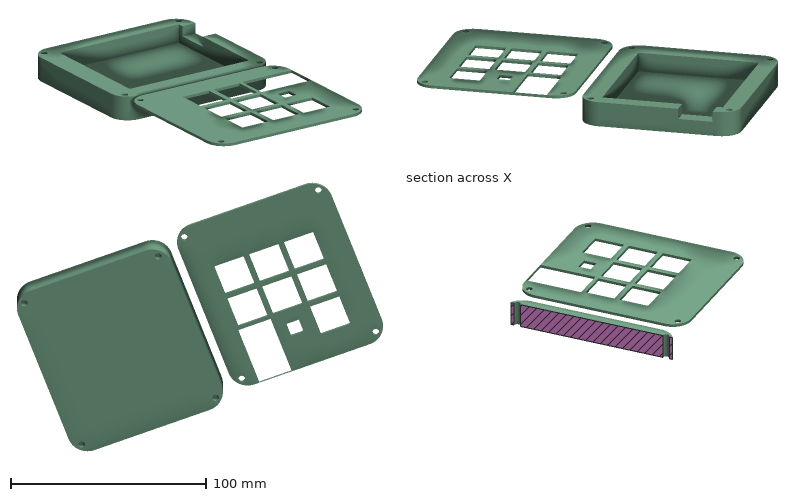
import cadquery as cq

WIDTH = 83.81
LENGTH = 94.0
CORNER_RADIUS = 10.35
SCREW_DIAMETER = 3.4
SCREW_INSET = 5.2

CASE_HEIGHT = 13.0
FLOOR_THICKNESS = 3.0
POCKET_WIDTH = 63.9
POCKET_LENGTH = 74.0
POCKET_LEFT_WALL = 9.3
POCKET_BACK_WALL = 8.1
NOTCH_LEFT = 12.6
NOTCH_WIDTH = 18.4
NOTCH_DEPTH = 5.5

PLATE_THICKNESS = 1.5
PLATE_GAP = 4.0
PLATE_SHIFT_Y = -0.21

KEY_SIZE = 16.2
KEY_PITCH = 19.05
FIRST_KEY_LEFT = 13.7
FIRST_KEY_BACK = 14.0
KEY_CELLS = [(2, 0)] + [(column, row) for row in (1, 2) for column in range(3)]

WINDOW_LEFT = 12.8
WINDOW_WIDTH = 17.9
WINDOW_LENGTH = 30.9
WINDOW_BACK_STRIP = 0.1

SMALL_SIZE = 7.0
SMALL_LEFT = 37.1
SMALL_BACK = 18.5

LEFT = -WIDTH / 2
BACK = LENGTH / 2


def screwed_slab(thickness):
    """Rounded rectangle, base on Z = 0, with a screw hole through each corner."""
    slab = cq.Workplane("XY").rect(WIDTH, LENGTH).extrude(thickness)
    slab = slab.edges("|Z").fillet(CORNER_RADIUS)
    holes = (
        cq.Workplane("XY")
        .rect(WIDTH - 2 * SCREW_INSET, LENGTH - 2 * SCREW_INSET, forConstruction=True)
        .vertices()
        .circle(SCREW_DIAMETER / 2)
        .extrude(thickness)
    )
    return slab.cut(holes)


def opening(from_left, from_back, width, length, bottom, top):
    """Cutting block placed by its distances from the left and back edges."""
    block = cq.Workplane("XY").box(width, length, top - bottom, centered=False)
    return block.translate((LEFT + from_left, BACK - from_back - length, bottom))


def make_case():
    pocket = opening(
        POCKET_LEFT_WALL, POCKET_BACK_WALL, POCKET_WIDTH, POCKET_LENGTH, FLOOR_THICKNESS, CASE_HEIGHT
    )
    notch = opening(
        NOTCH_LEFT, 0, NOTCH_WIDTH, POCKET_BACK_WALL, CASE_HEIGHT - NOTCH_DEPTH, CASE_HEIGHT
    )
    return screwed_slab(CASE_HEIGHT).cut(pocket).cut(notch)


def make_plate():
    plate = screwed_slab(PLATE_THICKNESS)
    for column, row in KEY_CELLS:
        key_left = FIRST_KEY_LEFT + column * KEY_PITCH
        key_back = FIRST_KEY_BACK + row * KEY_PITCH
        plate = plate.cut(opening(key_left, key_back, KEY_SIZE, KEY_SIZE, 0, PLATE_THICKNESS))
    window = opening(
        WINDOW_LEFT, WINDOW_BACK_STRIP, WINDOW_WIDTH, WINDOW_LENGTH, 0, PLATE_THICKNESS
    )
    small_square = opening(SMALL_LEFT, SMALL_BACK, SMALL_SIZE, SMALL_SIZE, 0, PLATE_THICKNESS)
    plate = plate.cut(window).cut(small_square)
    return plate.translate((WIDTH + PLATE_GAP, PLATE_SHIFT_Y, CASE_HEIGHT))


case = make_case()
plate = make_plate()

result = cq.Compound.makeCompound([case.val(), plate.val()])